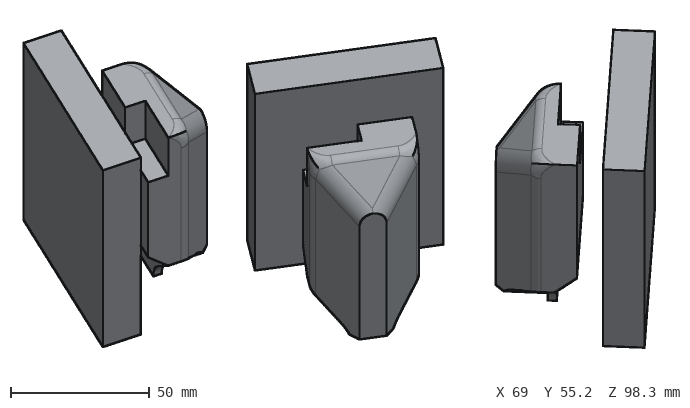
import cadquery as cq
import math

plate_width = 69.0
plate_depth = 15.0
plate_top = 98.3
plate_bottom = 5.2
plate_center_x = 1.2

wedge_width = 40.0
wedge_depth = 30.2
wedge_top = 85.7
wedge_gap = 10.0
bevel = 15.0
hip_radius = 8.8
rim_radius = 5.0
front_step = 8.0
notch_height = 20.0

foot_bottom = 5.0
shoulder_z = 18.2
tongue_half_width = 7.1
tongue_thickness = 3.3
half_width = wedge_width / 2
flank_radius = (shoulder_z - half_width + tongue_half_width) / (math.sqrt(2) - 1)
diagonal = math.sqrt(0.5)


def make_plate():
    return (
        cq.Workplane("XY")
        .box(plate_width, plate_depth, plate_top - plate_bottom, centered=(True, False, False))
        .translate((plate_center_x, -wedge_gap - plate_depth, plate_bottom))
    )


def make_left_half():
    """Left half of the beveled block, with its hip and rim rounded."""
    block = (
        cq.Workplane("XY")
        .box(wedge_width, wedge_depth, wedge_top, centered=(False, False, False))
        .translate((-half_width, 0, 0))
    )
    block = block.faces(">Y").edges("<X or >Z").chamfer(bevel)
    hip_middle = (-half_width + bevel / 2, wedge_depth - bevel / 2, wedge_top - bevel / 2)
    block = block.edges(cq.selectors.NearestToPointSelector(hip_middle)).fillet(hip_radius)
    side_rim = cq.selectors.NearestToPointSelector((-half_width, wedge_depth - bevel, wedge_top / 2))
    top_rim = cq.selectors.NearestToPointSelector((0, wedge_depth - bevel, wedge_top))
    block = block.edges(cq.selectors.SumSelector(side_rim, top_rim)).fillet(rim_radius)
    left_side = (
        cq.Workplane("XY")
        .box(half_width, wedge_depth, wedge_top, centered=(False, False, False))
        .translate((-half_width, 0, 0))
    )
    return block.intersect(left_side)


def make_front_outline():
    """Wedge outline in XZ, narrowing to the tongue, as a prism through the full depth."""
    flank_end_x = tongue_half_width + flank_radius * (1 - diagonal)
    flank_end_z = flank_radius * diagonal
    flank_mid_x = tongue_half_width + flank_radius * (1 - math.cos(math.pi / 8))
    flank_mid_z = flank_radius * math.sin(math.pi / 8)
    return (
        cq.Workplane("XZ")
        .moveTo(-tongue_half_width, 0)
        .lineTo(tongue_half_width, 0)
        .threePointArc((flank_mid_x, flank_mid_z), (flank_end_x, flank_end_z))
        .lineTo(half_width, shoulder_z)
        .lineTo(half_width, wedge_top)
        .lineTo(-half_width, wedge_top)
        .lineTo(-half_width, shoulder_z)
        .lineTo(-flank_end_x, flank_end_z)
        .threePointArc((-flank_mid_x, flank_mid_z), (-tongue_half_width, 0))
        .close()
        .extrude(-wedge_depth)
    )


def make_side_outline():
    """Wedge outline in YZ with the front relief and the tongue, as a full-width prism."""
    tongue_back = front_step + tongue_thickness
    return (
        cq.Workplane("YZ")
        .polyline([
            (0, wedge_top),
            (0, shoulder_z + front_step),
            (front_step, shoulder_z),
            (front_step, 0),
            (tongue_back, 0),
            (tongue_back, foot_bottom),
            (wedge_depth, foot_bottom),
            (wedge_depth, wedge_top),
        ])
        .close()
        .extrude(half_width, both=True)
    )


def make_notch():
    """Block removed from the right half of the front, open at the top."""
    return (
        cq.Workplane("XY")
        .box(half_width, front_step, notch_height, centered=(False, False, False))
        .translate((0, 0, wedge_top - notch_height))
    )


def make_wedge():
    left_half = make_left_half()
    block = left_half.union(left_half.mirror("YZ"))
    return block.intersect(make_front_outline()).intersect(make_side_outline()).cut(make_notch())


plate = make_plate()
wedge = make_wedge()
result = cq.Compound.makeCompound([plate.val(), *wedge.solids().vals()])